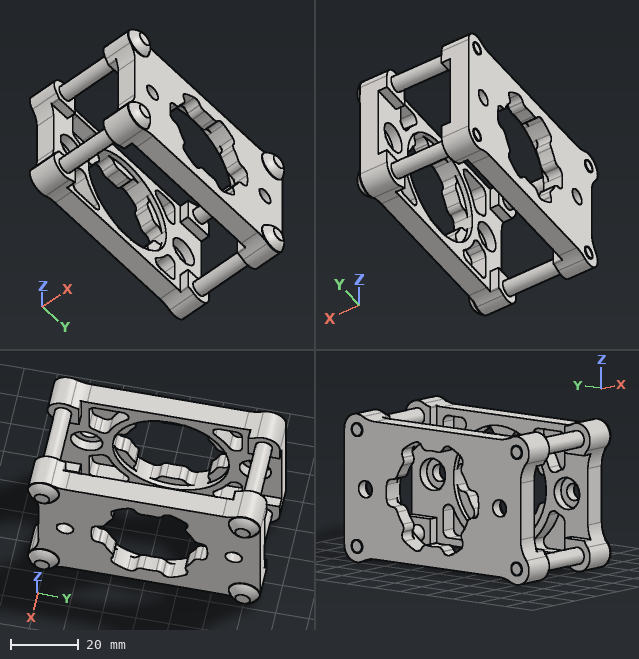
import cadquery as cq
import math

FRAME_LENGTH = 38.15
SCREW_SPACING_Y = 60.35
SCREW_SPACING_Z = 34.9

BOSS_RADIUS = 4.75
BOSS_HEIGHT = 9.5
PLATE_THICKNESS = 6.5
PLATE_HEIGHT = 41.2
BOSS_EDGE_ROUND = 0.3
NECK_RADIUS = 9.5
EDGE_SETBACK = 3.2

OPENING_RADIUS = 14.3
LOBE_COUNT = 6
LOBE_WIDTH = 8.25
LOBE_FILLET = 2.0
RECESS_RADIUS = 17.45
RECESS_DEPTH = 1.6

SIDE_HOLE_SPACING = 50.7
SIDE_HOLE_DIAMETER = 5.0
COUNTERBORE_RADIUS = 4.75
COUNTERBORE_DEPTH = 3.15

POCKET_DEPTH = 4.9
POCKET_CORNER = 2.0
POCKET_WALL = 2.45
POCKET_RIM = 2.3

SHANK_DIAMETER = 5.0
TIP_DIAMETER = 4.05
TIP_CHAMFER = 0.2
HEAD_RADIUS = 4.7
HEAD_HEIGHT = 2.5
HEAD_RIM = 0.2
HEAD_FLAT_RADIUS = 2.25

SCREW_Y = SCREW_SPACING_Y / 2
SCREW_Z = SCREW_SPACING_Z / 2
SCREW_POINTS = [(y, z) for y in (-SCREW_Y, SCREW_Y) for z in (-SCREW_Z, SCREW_Z)]
PLATE_MAX_Y = SCREW_Y + BOSS_RADIUS
PLATE_MIN_Y = EDGE_SETBACK - PLATE_MAX_Y
OPENING_Y = (PLATE_MIN_Y + PLATE_MAX_Y) / 2
SIDE_HOLE_POINTS = [(OPENING_Y + side * SIDE_HOLE_SPACING / 2, 0) for side in (-1, 1)]
BOSS_INNER_Y = SCREW_Y - BOSS_RADIUS
BOSS_INNER_Z = SCREW_Z - BOSS_RADIUS


def sketch_at(x):
    """Workplane at height x whose local axes are the Y and Z of the part."""
    return cq.Workplane("YZ", origin=(x, 0, 0))


def block(x_size, y_min, y_max, z_min, z_max):
    """Box that starts at X = 0."""
    size = (x_size, y_max - y_min, z_max - z_min)
    return cq.Workplane().box(*size, centered=False).translate((0, y_min, z_min))


def outline_prism(height):
    """Plate outline with its rounded corners and concave necks, extruded along X."""
    half_height = PLATE_HEIGHT / 2
    body = block(height, PLATE_MIN_Y, SCREW_Y, -half_height, half_height)
    body = body.union(block(height, SCREW_Y, PLATE_MAX_Y, -SCREW_Z, SCREW_Z))
    body = body.union(sketch_at(0).pushPoints(SCREW_POINTS).circle(BOSS_RADIUS).extrude(height))

    long_edge_y = SCREW_Y - math.sqrt(BOSS_RADIUS**2 - (half_height - SCREW_Z) ** 2)
    short_edge_z = SCREW_Z - math.sqrt(BOSS_RADIUS**2 - (SCREW_Y + PLATE_MIN_Y) ** 2)
    for side in (-1, 1):
        corners = [
            (-long_edge_y, side * half_height),
            (long_edge_y, side * half_height),
            (PLATE_MIN_Y, side * short_edge_z),
        ]
        for y, z in corners:
            corner = cq.selectors.NearestToPointSelector((height / 2, y, z))
            body = body.edges("|X").edges(corner).fillet(NECK_RADIUS)
    return body


def corner_bosses():
    """Raised corners: square regions of the outline that rise to the boss height."""
    blocks = cq.Workplane()
    reach = 2 * BOSS_RADIUS
    for y in (-1, 1):
        for z in (-1, 1):
            y_range = sorted((y * BOSS_INNER_Y, y * (BOSS_INNER_Y + reach)))
            z_range = sorted((z * BOSS_INNER_Z, z * (BOSS_INNER_Z + reach)))
            blocks = blocks.add(block(BOSS_HEIGHT, *y_range, *z_range))
    bosses = outline_prism(BOSS_HEIGHT).intersect(blocks.combine())

    runouts = []
    for side in (-1, 1):
        runouts.append((-BOSS_INNER_Y, side * PLATE_HEIGHT / 2))
        runouts.append((BOSS_INNER_Y, side * PLATE_HEIGHT / 2))
        runouts.append((PLATE_MIN_Y, side * BOSS_INNER_Z))
    for y, z in runouts:
        runout = cq.selectors.NearestToPointSelector((BOSS_HEIGHT / 2, y, z))
        bosses = bosses.edges("|X").edges(runout).fillet(BOSS_EDGE_ROUND)
    return bosses


def central_opening():
    """Six-lobed through opening with rounded lobe corners and roots."""
    opening = sketch_at(0).circle(OPENING_RADIUS).extrude(PLATE_THICKNESS)
    lobe = block(PLATE_THICKNESS, 0, 2 * RECESS_RADIUS, -LOBE_WIDTH / 2, LOBE_WIDTH / 2)
    lobe = lobe.intersect(sketch_at(0).circle(RECESS_RADIUS).extrude(PLATE_THICKNESS))
    for index in range(LOBE_COUNT):
        opening = opening.union(lobe.rotate((0, 0, 0), (1, 0, 0), index * 360 / LOBE_COUNT))
    opening = opening.edges("|X").fillet(LOBE_FILLET)
    return opening.translate((0, OPENING_Y, 0))


def pocket(y_side, z_side):
    """Pocket between the recess, a counterbore, a boss and a long edge."""
    side_y = y_side * (BOSS_INNER_Y - POCKET_WALL)
    y_range = sorted((OPENING_Y, side_y))
    z_range = sorted((0, z_side * (PLATE_HEIGHT / 2 - POCKET_RIM)))
    region = block(POCKET_DEPTH, *y_range, *z_range)
    recess_guard = sketch_at(0).center(OPENING_Y, 0).circle(RECESS_RADIUS + POCKET_WALL)
    hole_guard = sketch_at(0).pushPoints(SIDE_HOLE_POINTS).circle(COUNTERBORE_RADIUS + POCKET_WALL)
    region = region.cut(recess_guard.extrude(POCKET_DEPTH)).cut(hole_guard.extrude(POCKET_DEPTH))

    core = region.faces("<X").wires().toPending().offset2D(-POCKET_CORNER)
    outline = core.val().offset2D(POCKET_CORNER)[0]
    floor = cq.Face.makeFromWires(outline)
    pocket_body = cq.Solid.extrudeLinear(floor, cq.Vector(POCKET_DEPTH, 0, 0))
    return cq.Workplane(pocket_body).translate((PLATE_THICKNESS - POCKET_DEPTH, 0, 0))


def make_plate(screw_hole_diameter):
    """End plate with its outer face at X = 0 and its bosses pointing to +X."""
    plate = outline_prism(PLATE_THICKNESS)
    plate = plate.union(corner_bosses())
    plate = plate.cut(central_opening())

    recess = sketch_at(PLATE_THICKNESS).center(OPENING_Y, 0).circle(RECESS_RADIUS)
    plate = plate.cut(recess.extrude(-RECESS_DEPTH))

    side_holes = sketch_at(0).pushPoints(SIDE_HOLE_POINTS).circle(SIDE_HOLE_DIAMETER / 2)
    counterbores = sketch_at(PLATE_THICKNESS).pushPoints(SIDE_HOLE_POINTS).circle(COUNTERBORE_RADIUS)
    plate = plate.cut(side_holes.extrude(PLATE_THICKNESS)).cut(counterbores.extrude(-COUNTERBORE_DEPTH))

    for y_side in (-1, 1):
        for z_side in (-1, 1):
            plate = plate.cut(pocket(y_side, z_side))

    screw_holes = sketch_at(0).pushPoints(SCREW_POINTS).circle(screw_hole_diameter / 2)
    return plate.cut(screw_holes.extrude(BOSS_HEIGHT))


def make_screw(y, z):
    """Domed-head screw along X with a reduced, chamfered tip flush with the near plate."""
    dome_height = HEAD_HEIGHT - HEAD_RIM
    centre = (dome_height**2 + HEAD_FLAT_RADIUS**2 - HEAD_RADIUS**2) / (2 * dome_height)
    dome_radius = math.hypot(HEAD_RADIUS, centre)
    middle = dome_height / 2
    middle_radius = math.sqrt(dome_radius**2 - (middle - centre) ** 2)

    profile = (
        cq.Workplane("XY")
        .lineTo(0, TIP_DIAMETER / 2 - TIP_CHAMFER)
        .lineTo(TIP_CHAMFER, TIP_DIAMETER / 2)
        .lineTo(BOSS_HEIGHT, TIP_DIAMETER / 2)
        .lineTo(BOSS_HEIGHT, SHANK_DIAMETER / 2)
        .lineTo(FRAME_LENGTH, SHANK_DIAMETER / 2)
        .lineTo(FRAME_LENGTH, HEAD_RADIUS)
        .lineTo(FRAME_LENGTH + HEAD_RIM, HEAD_RADIUS)
        .threePointArc(
            (FRAME_LENGTH + HEAD_RIM + middle, middle_radius),
            (FRAME_LENGTH + HEAD_HEIGHT, HEAD_FLAT_RADIUS),
        )
        .lineTo(FRAME_LENGTH + HEAD_HEIGHT, 0)
        .close()
    )
    return profile.revolve(360, (0, 0, 0), (1, 0, 0)).translate((0, y, z))


near_plate = make_plate(TIP_DIAMETER)
far_plate = make_plate(SHANK_DIAMETER).mirror("YZ", (FRAME_LENGTH / 2, 0, 0))
screws = [make_screw(y, z) for y, z in SCREW_POINTS]

result = cq.Compound.makeCompound(
    [near_plate.val(), far_plate.val(), *[screw.val() for screw in screws]]
)